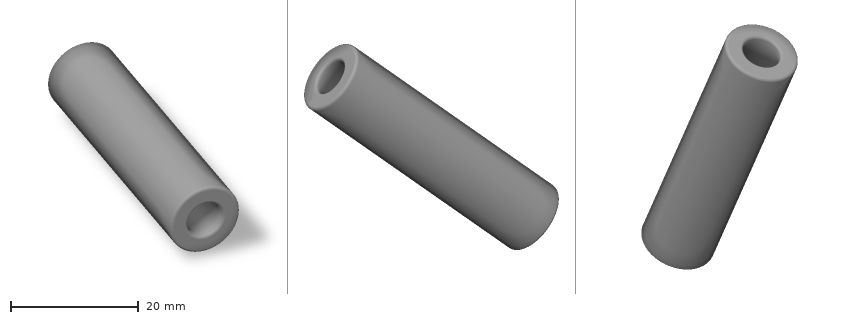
import cadquery as cq

length = 45.0
outer_diameter = 12.0
bore_diameter = 6.1
edge_radius = 0.5


def make_tube():
    """Plain tube along X, centred on the origin."""
    return (
        cq.Workplane("YZ", origin=(-length / 2, 0, 0))
        .circle(outer_diameter / 2)
        .circle(bore_diameter / 2)
        .extrude(length)
    )


def round_end_edges(tube):
    """Round the outer rim and the bore mouth on both end faces."""
    return tube.faces("<X or >X").edges().fillet(edge_radius)


result = round_end_edges(make_tube())